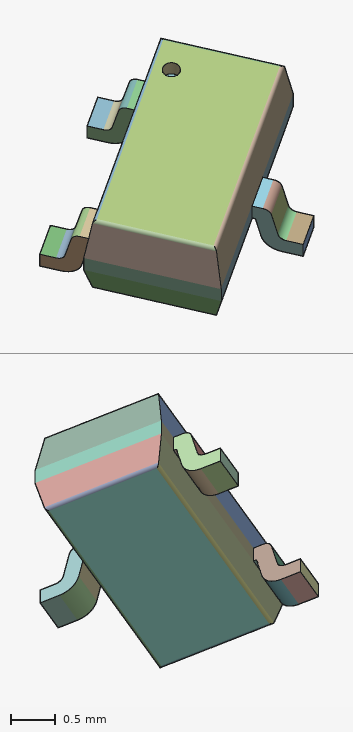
import cadquery as cq
import math

TIP_SPAN = 2.79
BODY_LENGTH = 2.9
BODY_TOP = 1.29

BODY_WIDTH = 1.6
BODY_BOTTOM = 0.08
TAPER_INSET = 0.085
BODY_EDGE_RADIUS = 0.044

LEAD_THICKNESS = 0.215
LEAD_WIDTH = 0.43
LEAD_TOP = 0.695
LEAD_PITCH_Y = 0.95
LEAD_ANGLE = 77.0
FOOT_FLAT = 0.195
BEND_RADIUS = 0.102
FOOT_OUTER_RADIUS = 0.25
SHOULDER_INNER_RADIUS = 0.015

BAND_TOP = LEAD_TOP
BAND_BOTTOM = LEAD_TOP - LEAD_THICKNESS

MARK_DIAMETER = 0.2
MARK_DEPTH = 0.2
MARK_X = -0.475


def tapered_half(height):
    """Frustum rising from Z = 0, narrowing by TAPER_INSET on every side."""
    taper_angle = math.degrees(math.atan(TAPER_INSET / height))
    return (
        cq.Workplane("XY")
        .rect(BODY_WIDTH, BODY_LENGTH)
        .extrude(height, taper=taper_angle)
        .faces(">Z")
        .edges()
        .fillet(BODY_EDGE_RADIUS)
    )


def make_body():
    """Tapered body with a vertical band, rounded end edges and a pin-one mark."""
    band = (
        cq.Workplane("XY", origin=(0, 0, BAND_BOTTOM))
        .rect(BODY_WIDTH, BODY_LENGTH)
        .extrude(LEAD_THICKNESS)
    )
    upper = tapered_half(BODY_TOP - BAND_TOP).translate((0, 0, BAND_TOP))
    lower = tapered_half(BAND_BOTTOM - BODY_BOTTOM).mirror("XY").translate((0, 0, BAND_BOTTOM))
    mark = (
        cq.Workplane("XY", origin=(MARK_X, LEAD_PITCH_Y, BODY_TOP))
        .circle(MARK_DIAMETER / 2)
        .extrude(-MARK_DEPTH)
    )
    return band.union(upper).union(lower).cut(mark)


def make_lead(side, center_y):
    """Gull-wing lead ending flush on the body; side is -1 for -X or +1 for +X."""
    slope = math.radians(LEAD_ANGLE)
    bend_tangent = math.tan(slope / 2)
    tip_x = -TIP_SPAN / 2
    body_x = -BODY_WIDTH / 2

    foot_upper_x = tip_x + FOOT_FLAT + BEND_RADIUS * bend_tangent
    shoulder_upper_x = foot_upper_x + (LEAD_TOP - LEAD_THICKNESS) / math.tan(slope)
    miter_shift = LEAD_THICKNESS * bend_tangent
    foot_lower = (foot_upper_x + miter_shift, 0)
    foot_upper = (foot_upper_x, LEAD_THICKNESS)
    shoulder_lower = (shoulder_upper_x + miter_shift, BAND_BOTTOM)
    shoulder_upper = (shoulder_upper_x, LEAD_TOP)

    lead = (
        cq.Workplane("XZ", origin=(0, LEAD_WIDTH / 2, 0))
        .moveTo(tip_x, 0)
        .lineTo(*foot_lower)
        .lineTo(*shoulder_lower)
        .lineTo(body_x, BAND_BOTTOM)
        .lineTo(body_x, LEAD_TOP)
        .lineTo(*shoulder_upper)
        .lineTo(*foot_upper)
        .lineTo(tip_x, LEAD_THICKNESS)
        .close()
        .extrude(LEAD_WIDTH)
    )
    bends = [
        (foot_lower, FOOT_OUTER_RADIUS),
        (foot_upper, BEND_RADIUS),
        (shoulder_upper, BEND_RADIUS),
        (shoulder_lower, SHOULDER_INNER_RADIUS),
    ]
    for (corner_x, corner_z), radius in bends:
        corner = cq.selectors.NearestToPointSelector((corner_x, 0, corner_z))
        lead = lead.edges("|Y").edges(corner).fillet(radius)

    if side > 0:
        lead = lead.rotate((0, 0, 0), (0, 0, 1), 180)
    return lead.translate((0, center_y, 0))


body = make_body()
LEAD_PLACES = [(-1, LEAD_PITCH_Y), (-1, -LEAD_PITCH_Y), (1, 0)]
leads = [make_lead(side, center_y) for side, center_y in LEAD_PLACES]

result = cq.Compound.makeCompound([body.val(), *[lead.val() for lead in leads]])